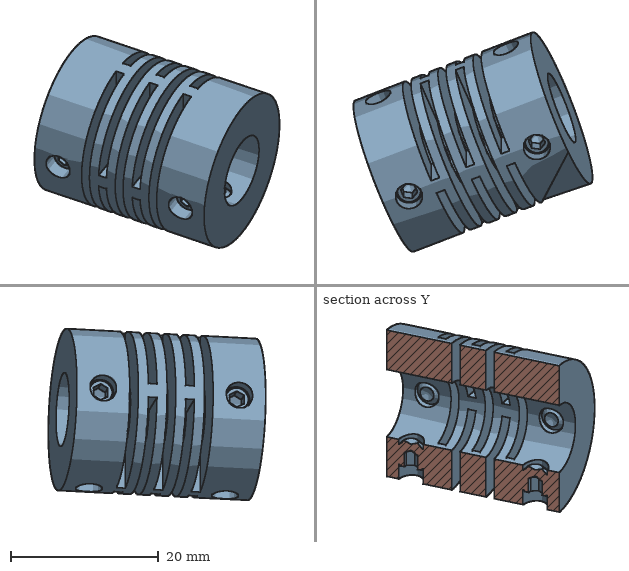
import cadquery as cq
import math

length = 26.0
outer_diameter = 22.0
bore_diameter = 10.0

slot_count = 5
slot_width = 1.2
slot_pitch = 2.57
web_width = 1.92
cut_margin = 0.25

screw_diameter = 3.61
screw_length = 4.0
screw_tip_distance = 5.0
head_chamfer = 0.23
tip_chamfer = 0.78
hex_across_flats = 1.98
hex_depth = 2.0
hex_cone_depth = 0.65
cup_depth = 0.36

outer_radius = outer_diameter / 2
bore_radius = bore_diameter / 2
screw_radius = screw_diameter / 2
slotted_length = (slot_count - 1) * slot_pitch + slot_width
collar_length = (length - slotted_length) / 2
screw_x = (length - collar_length) / 2


def make_sleeve():
    """Plain tube along X."""
    return (
        cq.Workplane("YZ")
        .circle(outer_radius)
        .circle(bore_radius)
        .extrude(length / 2, both=True)
    )


def make_slot(x, webs_vertical):
    """Cutter that clears a full slice except for one pair of opposite webs."""
    across = outer_diameter + 2 * cut_margin
    cutter = cq.Workplane("XY").box(slot_width, across, across)
    if webs_vertical:
        web = cq.Workplane("XY").box(slot_width, web_width, across)
    else:
        web = cq.Workplane("XY").box(slot_width, across, web_width)
    return cutter.cut(web).translate((x, 0, 0))


def make_screw_hole():
    """Radial hole pointing along +Z, from the axis to beyond the outside."""
    return cq.Workplane("XY").circle(screw_radius).extrude(outer_radius + cut_margin)


def revolve_about_z(profile):
    """Full revolution of a closed (radius, height) outline."""
    return cq.Workplane("XZ").polyline(profile).close().revolve(360, (0, 0), (0, 1))


def make_screw():
    """Socket set screw along +Z with its cup point towards the axis."""
    cup_radius = screw_radius - tip_chamfer
    profile = [
        (0, cup_depth),
        (cup_radius, 0),
        (screw_radius, tip_chamfer),
        (screw_radius, screw_length - head_chamfer),
        (screw_radius - head_chamfer, screw_length),
        (0, screw_length),
    ]
    body = revolve_about_z(profile)

    hex_circumradius = hex_across_flats / math.sqrt(3)
    socket_floor = screw_length - hex_depth
    cone_apex = socket_floor - hex_cone_depth
    socket = (
        cq.Workplane("XY", origin=(0, 0, cone_apex))
        .transformed(rotate=(0, 0, 90))
        .polygon(6, 2 * hex_circumradius)
        .extrude(screw_length - cone_apex)
    )
    drill_profile = [
        (0, cone_apex),
        (hex_circumradius, socket_floor),
        (hex_circumradius, screw_length),
        (0, screw_length),
    ]
    drill = revolve_about_z(drill_profile)
    return body.cut(socket.intersect(drill)).translate((0, 0, screw_tip_distance))


def place(feature, x, turn):
    """Turn a +Z feature about the X axis, then move it to its collar."""
    return feature.rotate((0, 0, 0), (1, 0, 0), turn).translate((x, 0, 0))


result = make_sleeve()

for index in range(slot_count):
    slot_x = (index - (slot_count - 1) / 2) * slot_pitch
    result = result.cut(make_slot(slot_x, index % 2 == 0))

front_turn = 90
bottom_turn = 180
for x in (-screw_x, screw_x):
    for turn in (front_turn, bottom_turn):
        result = result.cut(place(make_screw_hole(), x, turn))
        result = result.union(place(make_screw(), x, turn))